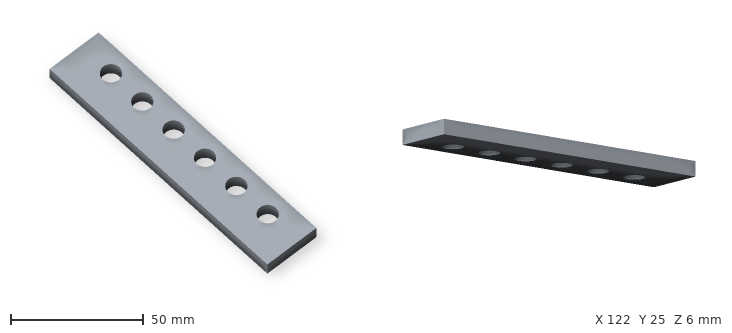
import cadquery as cq

length = 122.0
width = 25.0
thickness = 6.0

hole_count = 6
hole_diameter = 8.4
hole_pitch = 17.6
back_edge_to_holes = 9.3
hole_row_y = width / 2 - back_edge_to_holes

bar = cq.Workplane("XY").box(length, width, thickness)

result = (
    bar.faces(">Z")
    .workplane(origin=(0, hole_row_y, 0))
    .rarray(hole_pitch, 1.2, hole_count, 1)
    .hole(hole_diameter)
)